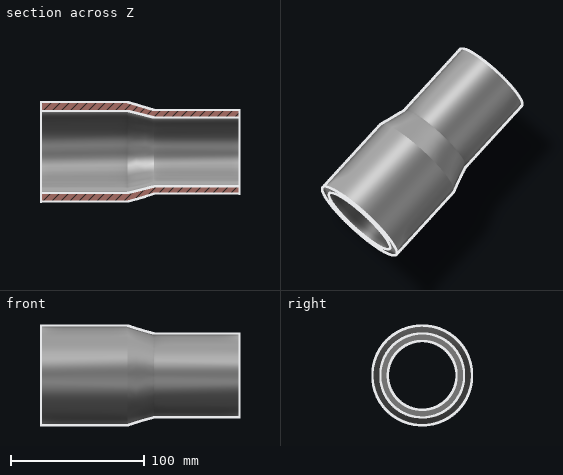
import cadquery as cq

large_diameter = 75.0
large_wall = 6.8
small_diameter = 63.0
small_wall = 5.8

total_length = 149.0
large_length = 65.0
taper_length = 20.0
taper_end = large_length + taper_length


def stepped_body(large_radius, small_radius):
    """Solid of revolution about X: large cylinder, cone, small cylinder."""
    return (
        cq.Workplane("XY")
        .moveTo(0, 0)
        .lineTo(0, large_radius)
        .lineTo(large_length, large_radius)
        .lineTo(taper_end, small_radius)
        .lineTo(total_length, small_radius)
        .lineTo(total_length, 0)
        .close()
        .revolve(360, (0, 0, 0), (1, 0, 0))
    )


outer_body = stepped_body(large_diameter / 2, small_diameter / 2)
bore = stepped_body(large_diameter / 2 - large_wall, small_diameter / 2 - small_wall)

result = outer_body.cut(bore)